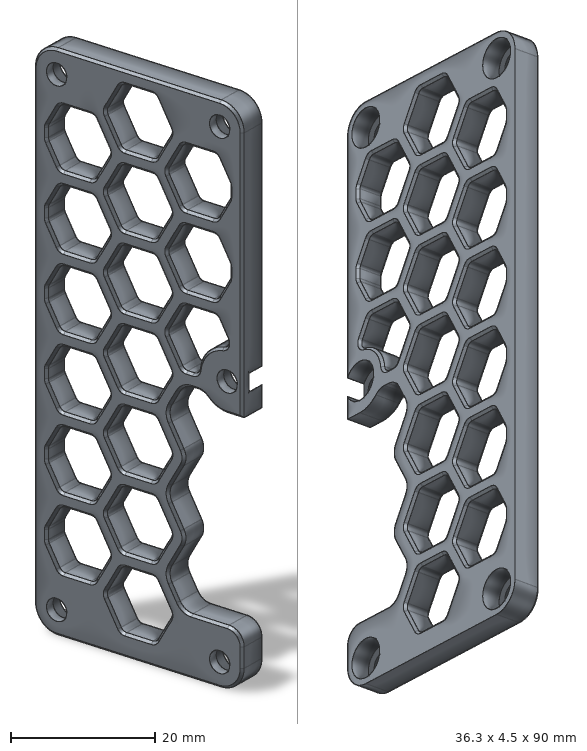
import cadquery as cq
import math

WIDTH = 36.3
HEIGHT = 90.0
THICKNESS = 4.5
CORNER_RADIUS = 4.0
CHAMFER = 0.4

HEX_FLATS = 10.1
WEB = 2.25
CENTER_COUNT = 7
LATTICE_Z = 0.7
HEX_FILLET = 1.1

HOLE_DIAMETER = 3.5
COUNTERBORE_DIAMETER = 6.0
COUNTERBORE_DEPTH = 3.0
OPENING_RADIUS = 2.6
PAD_HOLE_X = 15.5
PAD_HOLE_Z = 2.3
PAD_RADIUS = 4.95

PITCH = HEX_FLATS + WEB
COLUMN_X = PITCH * math.cos(math.radians(30))
HEX_RADIUS = HEX_FLATS / math.sqrt(3)
CENTER_ROWS = [LATTICE_Z + PITCH * ((CENTER_COUNT - 1) / 2 - i) for i in range(CENTER_COUNT)]
SIDE_ROWS = [z - PITCH / 2 for z in CENTER_ROWS[:-1]]

RIGHT_COUNT = 2
RIGHT_ROWS = SIDE_ROWS[:RIGHT_COUNT]
NOTCHED_ROW = SIDE_ROWS[RIGHT_COUNT]
OPEN_ROWS = SIDE_ROWS[RIGHT_COUNT + 1:]
OPENING_TOP = OPEN_ROWS[0] + HEX_FLATS / 2
OPENING_BOTTOM = OPEN_ROWS[-1] - HEX_FLATS / 2

RIGHT_EDGE = WIDTH / 2
CLEAR_WIDTH = WIDTH - 2 * WEB

MATCH_TOLERANCE = 0.01


def sketch_plane():
    """XZ plane on the back face, extruding toward the front (-Y)."""
    return cq.Workplane("XZ", origin=(0, THICKNESS / 2, 0))


def hexagon(x, z):
    """Hexagonal prism through the full thickness."""
    return sketch_plane().center(x, z).polygon(6, 2 * HEX_RADIUS).extrude(THICKNESS)


def side_hexagon(x, z):
    """Hexagonal prism trimmed to leave a full web along the side of the plate."""
    return hexagon(x, z).intersect(sketch_plane().rect(CLEAR_WIDTH, HEIGHT).extrude(THICKNESS))


def pad():
    """Round pad for the fifth hole, running straight out to the +X side."""
    disc = sketch_plane().center(PAD_HOLE_X, PAD_HOLE_Z).circle(PAD_RADIUS).extrude(THICKNESS)
    reach = RIGHT_EDGE - PAD_HOLE_X
    arm = (
        sketch_plane()
        .center(PAD_HOLE_X + reach / 2, PAD_HOLE_Z - PAD_RADIUS / 2)
        .rect(reach, PAD_RADIUS)
        .extrude(THICKNESS)
    )
    return disc.union(arm)


def side_opening():
    """Opening through the +X side whose inner wall follows the missing hexagons."""
    flat_start = COLUMN_X - HEX_RADIUS / 2
    valley_x = COLUMN_X - HEX_RADIUS
    peak_x = valley_x + PITCH / 2 / math.tan(math.radians(60))
    points = [(RIGHT_EDGE, OPENING_TOP), (flat_start, OPENING_TOP)]
    for z in OPEN_ROWS[:-1]:
        points += [(valley_x, z), (peak_x, z - PITCH / 2)]
    points += [(valley_x, OPEN_ROWS[-1]), (flat_start, OPENING_BOTTOM), (RIGHT_EDGE, OPENING_BOTTOM)]
    return sketch_plane().polyline(points).close().extrude(THICKNESS).cut(pad())


def corner_of_opening(edge):
    """True for the opening's corners, except where the pad meets the +X side."""
    point = edge.Center()
    on_pad_bottom = abs(point.z - (PAD_HOLE_Z - PAD_RADIUS)) < MATCH_TOLERANCE
    above_bottom = point.z > OPENING_BOTTOM - MATCH_TOLERANCE
    below_top = point.z < OPENING_TOP + MATCH_TOLERANCE
    return point.x > 0 and above_bottom and below_top and not on_pad_bottom


plate = sketch_plane().rect(WIDTH, HEIGHT).extrude(THICKNESS).edges("|Y").fillet(CORNER_RADIUS)
plate = plate.cut(side_opening())
plate = plate.edges("|Y").filter(corner_of_opening).fillet(OPENING_RADIUS)

for z in CENTER_ROWS:
    plate = plate.cut(hexagon(0, z).edges("|Y").fillet(HEX_FILLET))
side_centers = [(-COLUMN_X, z) for z in SIDE_ROWS]
side_centers += [(COLUMN_X, z) for z in RIGHT_ROWS]
for x, z in side_centers:
    plate = plate.cut(side_hexagon(x, z).edges("|Y").fillet(HEX_FILLET))
notched_hexagon = hexagon(COLUMN_X, NOTCHED_ROW).cut(pad())
plate = plate.cut(notched_hexagon.edges("|Y").fillet(HEX_FILLET))

plate = plate.faces("<Y").edges().chamfer(CHAMFER)
back_window_edges = [edge for wire in plate.faces(">Y").val().innerWires() for edge in wire.Edges()]
plate = plate.newObject(back_window_edges).chamfer(CHAMFER)

hole_x = WIDTH / 2 - CORNER_RADIUS
hole_z = HEIGHT / 2 - CORNER_RADIUS
hole_centers = [(sx * hole_x, sz * hole_z) for sx in (-1, 1) for sz in (-1, 1)]
hole_centers.append((PAD_HOLE_X, PAD_HOLE_Z))
holes = sketch_plane().pushPoints(hole_centers).circle(HOLE_DIAMETER / 2).extrude(THICKNESS)
counterbores = (
    sketch_plane().pushPoints(hole_centers).circle(COUNTERBORE_DIAMETER / 2).extrude(COUNTERBORE_DEPTH)
)
result = plate.cut(holes).cut(counterbores)